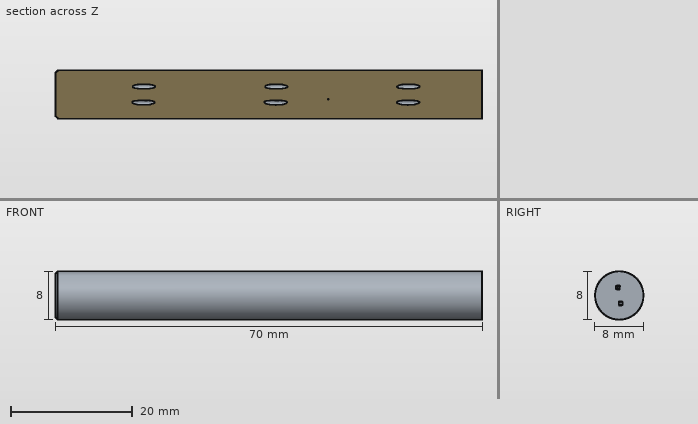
import cadquery as cq
import math

length = 70.0
diameter = 8.0
end_chamfer = 0.4

channel_diameter = 0.7
channel_circle_radius = 1.3
first_channel_angle = 60.0
channel_count = 2

surface_helix_angle = 30.0
helix_pitch = math.pi * diameter / math.tan(math.radians(surface_helix_angle))
twist_angle = 360.0 * length / helix_pitch


def end_plane():
    """Workplane on the -X end, facing along the rod."""
    return cq.Workplane("YZ", origin=(-length / 2, 0, 0))


def make_rod():
    """Solid rod centred on the origin, chamfered at the -X end only."""
    rod = end_plane().circle(diameter / 2).extrude(length)
    return rod.faces("<X").chamfer(end_chamfer)


def make_channel(start_angle):
    """Helical cutter that starts at the given angle and runs the full length."""
    angle = math.radians(start_angle)
    y = channel_circle_radius * math.cos(angle)
    z = channel_circle_radius * math.sin(angle)
    return end_plane().pushPoints([(y, z)]).circle(channel_diameter / 2).twistExtrude(length, twist_angle)


result = make_rod()
for index in range(channel_count):
    result = result.cut(make_channel(first_channel_angle + index * 360.0 / channel_count))